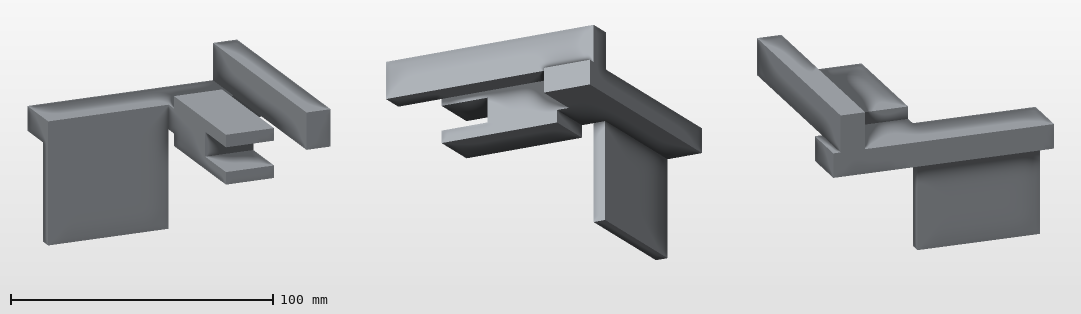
import cadquery as cq

beam_length = 90.0
beam_width = 20.0
beam_height = 10.0

rail_length = 90.0
rail_width = 10.0
rail_height = 15.0
rail_setback = 3.0

plate_thickness = 5.0
plate_length = 50.0
plate_height = 40.0

arm_length = 50.0
arm_width = 20.0
jaw_thickness = 5.0
slot_depth = 20.0
neck_length = 5.0
arm_y = plate_length


def block(x, y, z, length, width, height):
    """Box placed by its lowest corner, sized along X, Y and Z."""
    return cq.Workplane("XY").box(length, width, height, centered=False).translate((x, y, z))


def forked_arm():
    """Neck and arm, with a slot as high as the beam open at the far end."""
    arm_x = beam_width + neck_length
    arm_height = beam_height + 2 * jaw_thickness
    slot_x = arm_x + arm_length - slot_depth
    neck = block(beam_width, arm_y, 0, neck_length, arm_width, beam_height)
    body = block(arm_x, arm_y, -jaw_thickness, arm_length, arm_width, arm_height)
    slot = block(slot_x, arm_y, 0, slot_depth, arm_width, beam_height)
    return body.cut(slot).union(neck)


beam = block(0, 0, 0, beam_width, beam_length, beam_height)

rail_y = beam_length - rail_setback - rail_width
rail = block(0, rail_y, beam_height, rail_length, rail_width, rail_height)

plate_x = beam_width - plate_thickness
plate = block(plate_x, 0, -plate_height, plate_thickness, plate_length, plate_height)

result = beam.union(rail).union(plate).union(forked_arm())